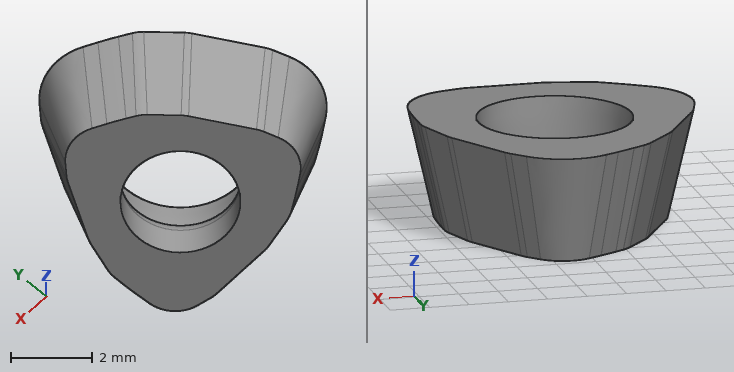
import cadquery as cq
import math

THICKNESS = 2.78
RELIEF_ANGLE = 13.0
SIDES = 3

WIPER_BEND = (-2.41, -2.485)
TRAILING_BEND = (-1.745, -2.865)
MIDDLE_BEND = (-0.54, -3.12)
LEADING_BEND = (1.505, -3.12)
NOSE_CORNER = (3.255, -2.73)
SHARP_BENDS = (TRAILING_BEND, MIDDLE_BEND, LEADING_BEND)

NOSE_RADIUS = 1.63
BEND_RADIUS = 0.92
WIPER_RADIUS = 9.53
MATCH_DISTANCE = 0.01

MOUTH_RADIUS = 1.935
SEAT_RADIUS = 1.88
SEAT_DEPTH = 1.13
THROAT_RADIUS = 1.475
THROAT_DEPTH = 1.76


def rotated(point, side):
    """Turn a point about the hole axis onto the given side."""
    angle = math.radians(360 / SIDES * side)
    x, y = point
    return cq.Vector(
        x * math.cos(angle) - y * math.sin(angle),
        x * math.sin(angle) + y * math.cos(angle),
    )


def corner_arc(before, corner, after, radius):
    """Start, middle and end of the arc tangent to both lines at a corner."""
    back = (before - corner).normalized()
    forward = (after - corner).normalized()
    half_angle = back.getAngle(forward) / 2
    tangent_length = radius / math.tan(half_angle)
    middle_distance = radius / math.sin(half_angle) - radius
    start = corner + back * tangent_length
    middle = corner + (back + forward).normalized() * middle_distance
    end = corner + forward * tangent_length
    return [(point.x, point.y) for point in (start, middle, end)]


def make_body():
    """Tapered body with conical noses and wipers; the other bends stay sharp."""
    arcs_and_bends = []
    for side in range(SIDES):
        wiper = corner_arc(
            rotated(NOSE_CORNER, side - 1),
            rotated(WIPER_BEND, side),
            rotated(TRAILING_BEND, side),
            WIPER_RADIUS,
        )
        nose = corner_arc(
            rotated(LEADING_BEND, side),
            rotated(NOSE_CORNER, side),
            rotated(WIPER_BEND, side + 1),
            NOSE_RADIUS,
        )
        arcs_and_bends.append((wiper, [rotated(bend, side) for bend in SHARP_BENDS], nose))

    first_wiper = arcs_and_bends[0][0]
    outline = cq.Workplane("XY").moveTo(*first_wiper[0])
    for wiper, bends, nose in arcs_and_bends:
        if wiper is not first_wiper:
            outline = outline.lineTo(*wiper[0])
        outline = outline.threePointArc(*wiper[1:])
        for bend in bends:
            outline = outline.lineTo(bend.x, bend.y)
        outline = outline.lineTo(*nose[0]).threePointArc(*nose[1:])
    return outline.close().extrude(-THICKNESS, taper=RELIEF_ANGLE)


def round_bends(body):
    """Round the side edges below the sharp bends with a constant radius."""
    points = [rotated(bend, side) for side in range(SIDES) for bend in SHARP_BENDS]
    edges = []
    for edge in body.edges("not #Z").vals():
        top = max((edge.startPoint(), edge.endPoint()), key=lambda end: end.z)
        if any((top - point).Length < MATCH_DISTANCE for point in points):
            edges.append(edge)
    return body.newObject(edges).fillet(BEND_RADIUS)


def make_hole():
    step = SEAT_RADIUS - THROAT_RADIUS
    drop = THROAT_DEPTH - SEAT_DEPTH
    shoulder_radius = (step**2 + drop**2) / (2 * step)
    half_sweep = math.asin(drop / shoulder_radius) / 2
    shoulder_middle = (
        THROAT_RADIUS + shoulder_radius * (1 - math.cos(half_sweep)),
        -THROAT_DEPTH + shoulder_radius * math.sin(half_sweep),
    )
    return (
        cq.Workplane("XZ")
        .lineTo(MOUTH_RADIUS, 0)
        .lineTo(SEAT_RADIUS, -SEAT_DEPTH)
        .threePointArc(shoulder_middle, (THROAT_RADIUS, -THROAT_DEPTH))
        .lineTo(THROAT_RADIUS, -THICKNESS)
        .lineTo(0, -THICKNESS)
        .close()
        .revolve(360, (0, 0), (0, 1))
    )


result = round_bends(make_body()).cut(make_hole())